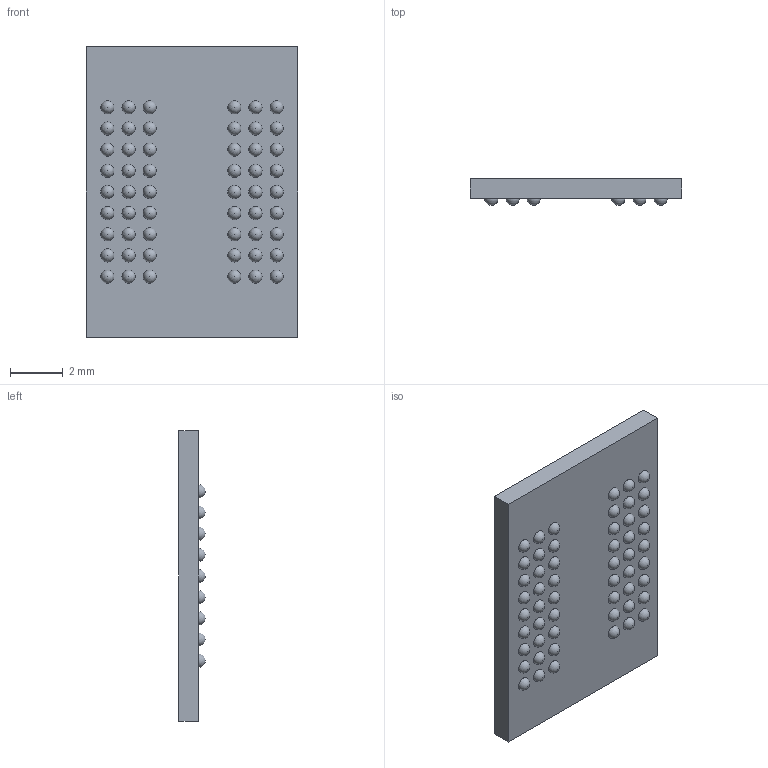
import cadquery as cq

BODY_WIDTH = 8.0
BODY_HEIGHT = 11.0
TOTAL_DEPTH = 1.0

BALL_DIAMETER = 0.5
BALL_RADIUS = BALL_DIAMETER / 2
BODY_THICKNESS = TOTAL_DEPTH - BALL_RADIUS

BALL_PITCH = 0.8
GRID_COLUMNS = 9
GRID_ROWS = 9
EMPTY_MIDDLE_COLUMNS = 3


def centred_index(count):
    """Whole-number steps from the middle for an odd number of positions."""
    half = count // 2
    return range(-half, half + 1)


def ball_positions():
    """(x, z) centres of the balls, in two blocks either side of the middle."""
    last_empty = EMPTY_MIDDLE_COLUMNS // 2
    columns = [c for c in centred_index(GRID_COLUMNS) if abs(c) > last_empty]
    return [
        (column * BALL_PITCH, row * BALL_PITCH)
        for column in columns
        for row in centred_index(GRID_ROWS)
    ]


def make_body():
    """Flat rectangular package extending from Y = 0 toward +Y."""
    return cq.Workplane("XY").box(
        BODY_WIDTH, BODY_THICKNESS, BODY_HEIGHT, centered=(True, False, True)
    )


def make_balls():
    """All solder balls, as full spheres centred on the front face."""
    balls = cq.Workplane("XY")
    for x, z in ball_positions():
        ball = cq.Workplane("XZ").sphere(BALL_RADIUS).translate((x, 0, z))
        balls = balls.add(ball)
    return balls.combine(glue=True)


result = make_body().union(make_balls())